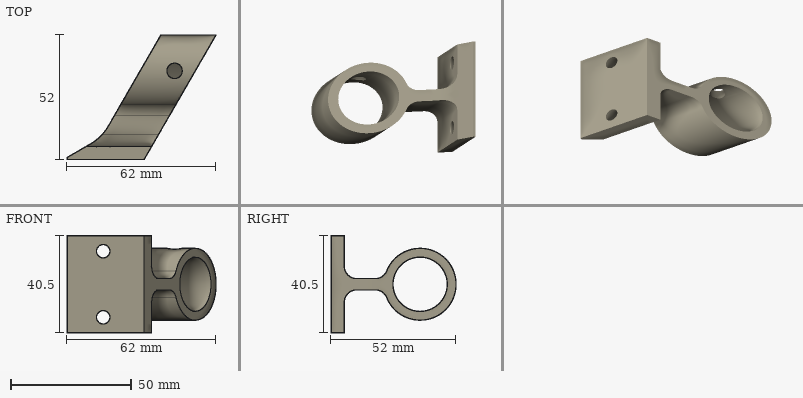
import cadquery as cq
import math

plate_width = 32.0
plate_height = 40.5
plate_thickness = 5.5
left_edge_thickness = 1.0
screw_hole_diameter = 5.5
screw_hole_spacing = 27.5
screw_hole_x = 15.0

ring_radius = 15.0
bore_radius = 11.25
depth = 52.0
ring_y = depth - ring_radius

web_thickness = 4.8
web_fillet = 5.0

slant_angle = math.radians(60)
ramp_angle = math.radians(30)
ring_width = 23.0
plan_fillet = 20.0
slant_run = depth / math.tan(slant_angle)
total_width = plate_width + slant_run

set_screw_diameter = 6.4
set_screw_x = 44.7


def x_cylinder(radius):
    """Cylinder on the ring axis, as long as the part is wide."""
    return cq.Workplane("YZ").center(ring_y, 0).circle(radius).extrude(total_width)


def web_profile():
    """Web with fillets that run tangent into the plate and the ring, symmetric about Z = 0."""
    half = web_thickness / 2
    fillet_z = half + web_fillet
    plate_fillet_y = plate_thickness + web_fillet
    ring_to_fillet = ring_radius + web_fillet
    ring_fillet_y = ring_y - math.sqrt(ring_to_fillet**2 - fillet_z**2)
    ring_share = ring_radius / ring_to_fillet
    tangent_y = ring_y + (ring_fillet_y - ring_y) * ring_share
    tangent_z = fillet_z * ring_share
    return (
        cq.Workplane("YZ")
        .moveTo(plate_thickness, -fillet_z)
        .radiusArc((plate_fillet_y, -half), web_fillet)
        .lineTo(ring_fillet_y, -half)
        .radiusArc((tangent_y, -tangent_z), web_fillet)
        .lineTo(ring_y, 0)
        .lineTo(tangent_y, tangent_z)
        .radiusArc((ring_fillet_y, half), web_fillet)
        .lineTo(plate_fillet_y, half)
        .radiusArc((plate_thickness, fillet_z), web_fillet)
        .close()
    )


def side_profile_body():
    """Plate, web and bored ring, extruded along X over the full width."""
    plate = cq.Workplane("XY").box(
        total_width, plate_thickness, plate_height, centered=(False, False, True)
    )
    web = web_profile().extrude(total_width)
    return plate.union(x_cylinder(ring_radius)).union(web).cut(x_cylinder(bore_radius))


def plan_prism():
    """Slanted plan outline whose left side bends from the ramp to the slant."""
    ramp_slope = math.tan(ramp_angle)
    slant_slope = math.tan(slant_angle)
    ring_left_x = total_width - ring_width
    slant_foot_x = ring_left_x - slant_run
    corner_x = (left_edge_thickness + slant_slope * slant_foot_x) / (slant_slope - ramp_slope)
    corner_y = left_edge_thickness + ramp_slope * corner_x
    tangent_length = plan_fillet * math.tan((slant_angle - ramp_angle) / 2)
    ramp_end = (
        corner_x - tangent_length * math.cos(ramp_angle),
        corner_y - tangent_length * math.sin(ramp_angle),
    )
    slant_start = (
        corner_x + tangent_length * math.cos(slant_angle),
        corner_y + tangent_length * math.sin(slant_angle),
    )
    return (
        cq.Workplane("XY")
        .moveTo(0, 0)
        .lineTo(plate_width, 0)
        .lineTo(total_width, depth)
        .lineTo(ring_left_x, depth)
        .lineTo(*slant_start)
        .radiusArc(ramp_end, plan_fillet)
        .lineTo(0, left_edge_thickness)
        .close()
        .extrude(plate_height / 2, both=True)
    )


def screw_holes():
    """Cutters for the two holes through the plate along Y."""
    half_spacing = screw_hole_spacing / 2
    return (
        cq.Workplane("XZ")
        .pushPoints([(screw_hole_x, -half_spacing), (screw_hole_x, half_spacing)])
        .circle(screw_hole_diameter / 2)
        .extrude(-plate_thickness)
    )


def set_screw_hole():
    """Vertical cutter from the ring axis to above the ring, as high as the plate."""
    return (
        cq.Workplane("XY")
        .center(set_screw_x, ring_y)
        .circle(set_screw_diameter / 2)
        .extrude(plate_height / 2)
    )


result = side_profile_body().intersect(plan_prism()).cut(screw_holes()).cut(set_screw_hole())